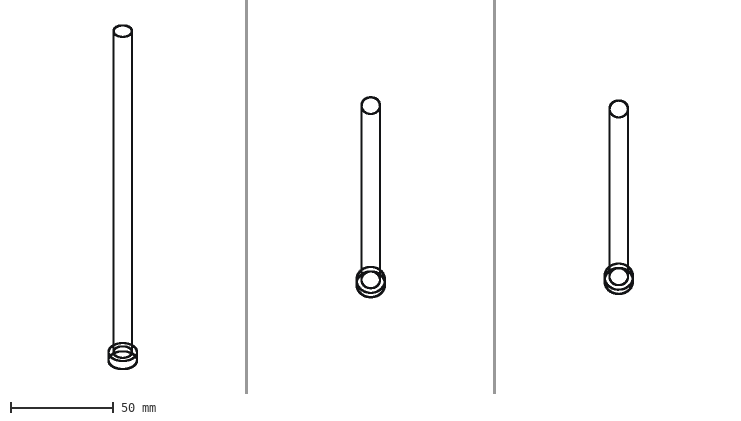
import cadquery as cq

total_length = 205.0
head_diameter = 14.0
head_height = 5.1
shank_diameter = 9.0

head = cq.Workplane("XY").circle(head_diameter / 2).extrude(head_height)
shank = cq.Workplane("XY").circle(shank_diameter / 2).extrude(total_length)

result = head.union(shank)